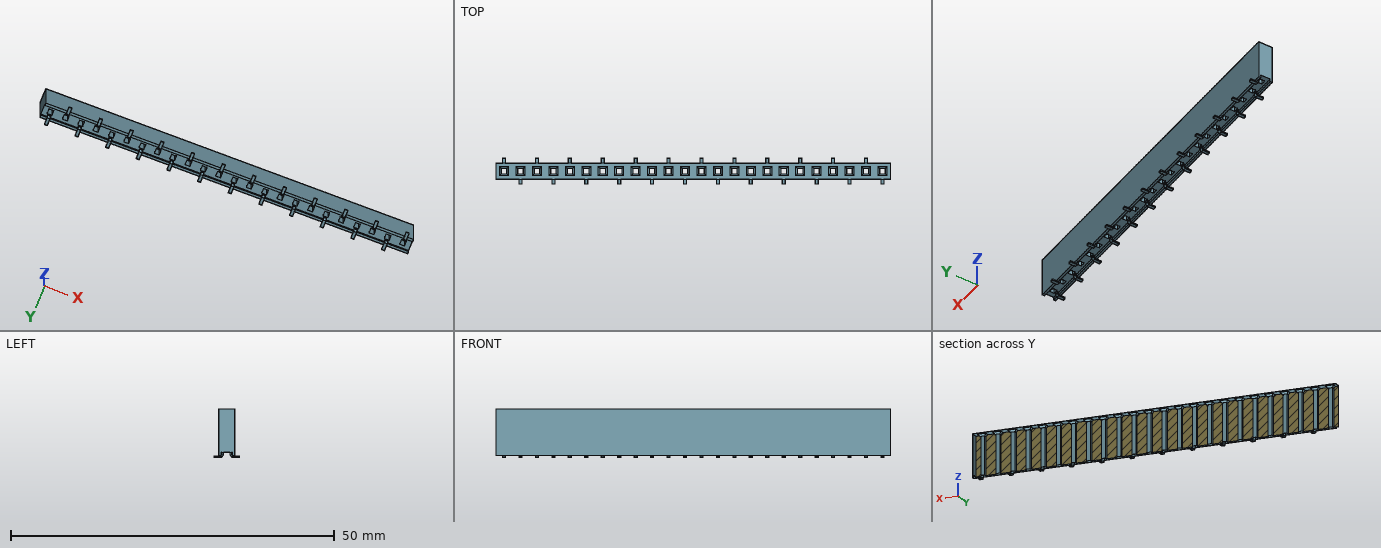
import cadquery as cq
import math


pin_count = 24
pitch = 2.54
body_length = pin_count * pitch
body_width = 2.5
total_height = 7.5
standoff = 0.3

channel_width = 1.7
channel_depth = 0.5
channel_ceiling = standoff + channel_depth

socket_size = 0.8
mouth_size = 1.4
mouth_depth = (mouth_size - socket_size) / 2

tail_width = 0.5
tail_thickness = 0.25
tail_reach = 2.0
stem_inner = 0.5
bend_run = 0.3
bend_top = 0.4
root_depth = 0.2


def pin_x(index):
    return (index - (pin_count - 1) / 2) * pitch


def make_body():
    body_height = total_height - standoff
    body = cq.Workplane("XY").workplane(offset=standoff).box(
        body_length, body_width, body_height, centered=(True, True, False)
    )
    channel = cq.Workplane("XY").box(
        body_length, channel_width, channel_ceiling, centered=(True, True, False)
    )
    return body.cut(channel)


def make_socket():
    bore = cq.Workplane("XY").rect(socket_size, socket_size).extrude(total_height)
    mouth = (
        cq.Workplane("XY")
        .workplane(offset=total_height - mouth_depth)
        .rect(socket_size, socket_size)
        .workplane(offset=mouth_depth)
        .rect(mouth_size, mouth_size)
        .loft(ruled=True)
    )
    return bore.union(mouth)


def make_tail(side):
    """Stem, slope and flat foot; side is +1 or -1 for the Y direction it points."""
    stem_outer = stem_inner + tail_thickness
    foot_start = stem_inner + bend_run
    slope_angle = math.atan2(bend_run, bend_top)
    stem_setback = tail_thickness * math.tan(slope_angle / 2)
    foot_setback = tail_thickness * math.tan((math.pi / 2 - slope_angle) / 2)
    root_top = channel_ceiling + root_depth
    outline = [
        (stem_inner, root_top),
        (stem_inner, bend_top),
        (foot_start, 0),
        (tail_reach, 0),
        (tail_reach, tail_thickness),
        (foot_start + foot_setback, tail_thickness),
        (stem_outer, bend_top + stem_setback),
        (stem_outer, root_top),
    ]
    return (
        cq.Workplane("YZ")
        .polyline([(side * y, z) for y, z in outline])
        .close()
        .extrude(tail_width / 2, both=True)
    )


def at_pins(shape, indices):
    return [shape.val().translate(cq.Vector(pin_x(i), 0, 0)) for i in indices]


socket_cuts = at_pins(make_socket(), range(pin_count))
rear_tails = at_pins(make_tail(1), range(0, pin_count, 2))
front_tails = at_pins(make_tail(-1), range(1, pin_count, 2))

housing = make_body().val().cut(*socket_cuts)
result = cq.Workplane("XY").newObject([housing.fuse(*rear_tails, *front_tails)])